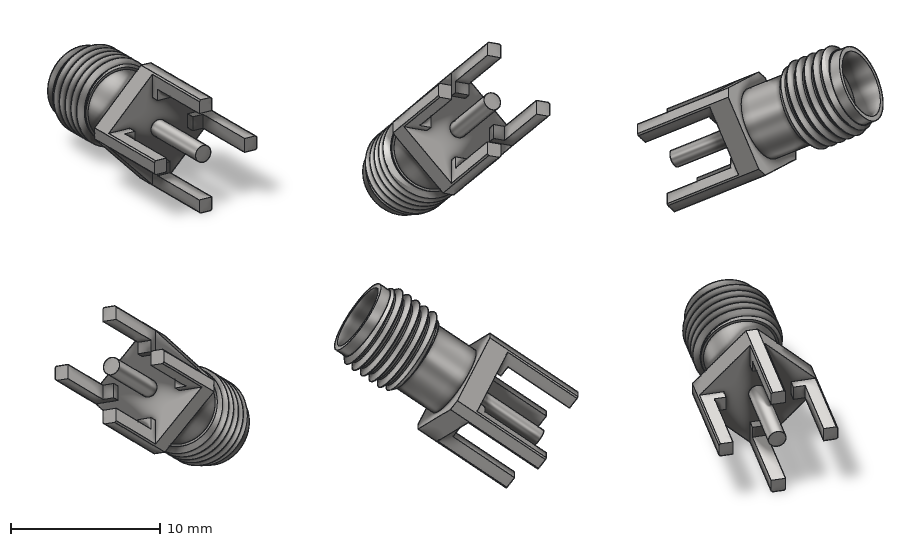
import cadquery as cq
import math

nose_end = 0.76
thread_end = 4.76
flange_start = 7.96
flange_end = 9.52
foot_end = 10.15
pin_end = 14.96
total_length = 15.25

nose_radius = 2.65
barrel_radius = 2.53
bore_radius = 2.32
bore_depth = 1.98

core_radius = 2.7
crest_radius = 3.13
pitch = 0.7
crest_width = 0.05
root_width = 0.12
crest_position = 0.41
root_overlap = 0.05

half_height = 4.1
corner_half_width = 0.4

leg_width = 1.0
leg_inner = 3.13
foot_inner = 2.32

pin_radius = 0.61
socket_radius = 0.45
recess_depth = 0.09
socket_depth = 1.22
socket_tip_depth = 0.3


def rod(start, end, radius):
    """Round bar along the connector axis."""
    return cq.Workplane("YZ", origin=(start, 0, 0)).circle(radius).extrude(end - start)


def diamond(start, end):
    """Prism with the flange outline, running along the axis."""
    outline = [
        (half_height, -corner_half_width),
        (half_height, corner_half_width),
        (corner_half_width, half_height),
        (-corner_half_width, half_height),
        (-half_height, corner_half_width),
        (-half_height, -corner_half_width),
        (-corner_half_width, -half_height),
        (corner_half_width, -half_height),
    ]
    return cq.Workplane("YZ", origin=(start, 0, 0)).polyline(outline).close().extrude(end - start)


def threaded_section():
    """Core with a helical ridge, bevelled at both ends."""
    turns = math.ceil((thread_end - crest_position) / pitch) + 1
    path = cq.Wire.makeHelix(pitch, turns * pitch, core_radius)
    root_half = (pitch - root_width) / 2
    crest_half = crest_width / 2
    flank_slope = (root_half - crest_half) / (crest_radius - core_radius)
    inner_half = root_half + root_overlap * flank_slope
    inner_radius = core_radius - root_overlap
    profile = [
        (inner_radius, -inner_half),
        (crest_radius, -crest_half),
        (crest_radius, crest_half),
        (inner_radius, inner_half),
    ]
    ridge = cq.Workplane("XZ").polyline(profile).close().sweep(cq.Workplane(path), isFrenet=True)
    ridge = ridge.rotate((0, 0, 0), (1, 1, 1), 120).translate((crest_position, 0, 0))

    bevel = crest_radius - core_radius
    envelope = rod(nose_end, thread_end, crest_radius + root_overlap)
    envelope = envelope.edges().chamfer(bevel + root_overlap)
    return rod(nose_end, thread_end, core_radius).union(ridge.intersect(envelope))


def leg(angle):
    """Corner leg with its foot, turned about the axis from the +Z corner."""
    leg_box = cq.Workplane("XY").box(
        total_length - flange_end, leg_width, half_height - leg_inner, centered=(False, True, False)
    ).translate((flange_end, 0, leg_inner))
    foot_box = cq.Workplane("XY").box(
        foot_end - flange_end, leg_width, half_height - foot_inner, centered=(False, True, False)
    ).translate((flange_end, 0, foot_inner))
    return leg_box.union(foot_box).rotate((0, 0, 0), (1, 0, 0), angle)


body = rod(0, thread_end, nose_radius)
body = body.union(threaded_section())
body = body.union(rod(thread_end, flange_start, barrel_radius))
body = body.union(diamond(flange_start, flange_end))

legs = leg(0)
for quarter in range(1, 4):
    legs = legs.union(leg(quarter * 90))
body = body.union(legs.intersect(diamond(flange_end, total_length)))

body = body.union(rod(flange_end, pin_end, pin_radius))
body = body.cut(rod(0, bore_depth, bore_radius))

contact_face = bore_depth + recess_depth
socket_end = contact_face + socket_depth
socket = (
    cq.Workplane("XY")
    .moveTo(bore_depth, 0)
    .lineTo(bore_depth, pin_radius)
    .lineTo(contact_face, pin_radius)
    .lineTo(contact_face, socket_radius)
    .lineTo(socket_end, socket_radius)
    .lineTo(socket_end + socket_tip_depth, 0)
    .close()
    .revolve(360, (0, 0, 0), (1, 0, 0))
)
result = body.cut(socket)